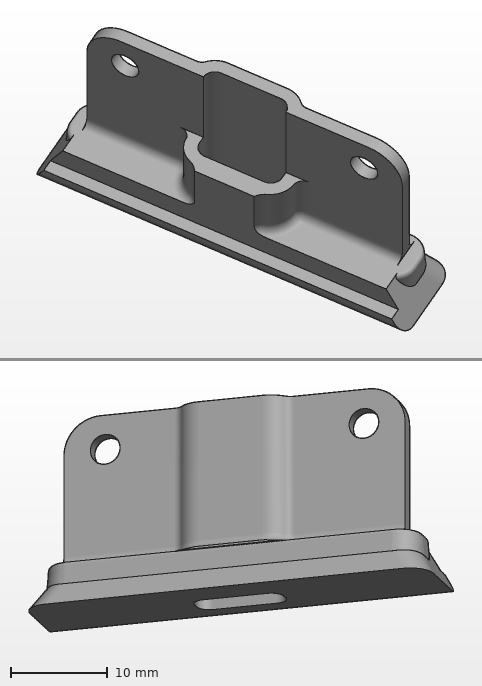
import cadquery as cq
import math

BASE_WIDTH = 43.77
BASE_DEPTH = 10.8
BASE_HEIGHT = 5.0
SIDE_ANGLE = 30.0
REAR_CORNER_RADIUS = 3.0
LIP_DEPTH = 1.45
LIP_HEIGHT = 2.5
LIP_RADIUS = 2.0

COLLAR_FRONT = 2.75
COLLAR_RADIUS = 2.65
COLLAR_DRAFT = 4.5
COLLAR_RIM_RADIUS = 0.5

TOTAL_HEIGHT = 21.0
PLATE_WIDTH = 37.06
PLATE_FRONT = 5.8
PLATE_THICKNESS = 1.5
PLATE_CORNER_RADIUS = 4.0
HOLE_DIAMETER = 3.2
HOLE_SPACING = 28.08
HOLE_HEIGHT = 17.3

SLOT_WIDTH = 9.68
SLOT_FRONT = 3.65
SLOT_BACK = 7.12
SLOT_RADIUS = 1.35
WALL_THICKNESS = 1.5
BOSS_HEIGHT = 11.0
BLEND_RADIUS = 1.15
FLARE_RADIUS = 2.17
FLARE_ANGLE = 22.0
FOOT_RADIUS = 1.0
FOOT_BACK = 9.0

MARGIN = 3.0
SLAB_THICKNESS = 1.0
SELECT_GAP = 0.1

SIDE_SLOPE = math.tan(math.radians(SIDE_ANGLE))
PLATE_BACK = PLATE_FRONT + PLATE_THICKNESS
BULGE_RADIUS = SLOT_RADIUS + WALL_THICKNESS
CORNER_X = SLOT_WIDTH / 2 - SLOT_RADIUS
FRONT_CORNER_Y = SLOT_FRONT + SLOT_RADIUS
BACK_CORNER_Y = SLOT_BACK - SLOT_RADIUS
OVERSIZE_X = PLATE_WIDTH / 2 + MARGIN


def polar(center, radius, angle):
    """Point on a circle, with the angle in degrees from +X."""
    turn = math.radians(angle)
    return (center[0] + radius * math.cos(turn), center[1] + radius * math.sin(turn))


def blend_geometry(corner_y, wall_y, outward):
    """Centre of the blend arc between a bulge corner and a plate face, and its direction from the corner."""
    rise = wall_y + outward * BLEND_RADIUS - corner_y
    reach = BULGE_RADIUS + BLEND_RADIUS
    run = math.sqrt(reach**2 - rise**2)
    return (CORNER_X + run, corner_y + rise), math.degrees(math.atan2(rise, run))


def make_wedge():
    """Block with sloping sides and back, rounded rear corners and a rounded front lip."""
    inset = BASE_HEIGHT * SIDE_SLOPE
    half = BASE_WIDTH / 2
    front_outline = [(-half, 0), (half, 0), (half - inset, BASE_HEIGHT), (inset - half, BASE_HEIGHT)]
    side_outline = [
        (0, 0),
        (BASE_DEPTH, 0),
        (BASE_DEPTH - inset, BASE_HEIGHT),
        (LIP_DEPTH, BASE_HEIGHT),
        (LIP_DEPTH, LIP_HEIGHT),
        (0, LIP_HEIGHT),
    ]
    across = cq.Workplane("XZ").polyline(front_outline).close().extrude(-BASE_DEPTH)
    along = cq.Workplane("YZ").polyline(side_outline).close().extrude(half, both=True)
    wedge = across.intersect(along)
    rear = cq.selectors.BoxSelector(
        (-BASE_WIDTH, BASE_DEPTH - inset, BASE_HEIGHT / 4),
        (BASE_WIDTH, BASE_DEPTH, BASE_HEIGHT * 3 / 4),
    )
    rear_corners = wedge.edges(rear).edges("not #Z").edges("not |X")
    wedge = rear_corners.fillet(REAR_CORNER_RADIUS)
    return wedge.edges("|X").edges("<Y").edges("<Z").fillet(LIP_RADIUS)


def make_collar():
    """Rounded drafted block with a rounded top rim; its foot meets the wedge at lip height."""
    inset = LIP_HEIGHT * SIDE_SLOPE
    width = BASE_WIDTH - 2 * inset
    back = BASE_DEPTH - inset
    outline = cq.Sketch().rect(width, back - COLLAR_FRONT).vertices().fillet(COLLAR_RADIUS)
    return (
        cq.Workplane("XY", origin=(0, (back + COLLAR_FRONT) / 2, LIP_HEIGHT))
        .placeSketch(outline)
        .extrude(BASE_HEIGHT - LIP_HEIGHT, taper=COLLAR_DRAFT)
        .faces(">Z")
        .edges()
        .fillet(COLLAR_RIM_RADIUS)
    )


def make_back_half():
    """Right half of the full-height plate, bulging backwards behind the slot."""
    corner = (CORNER_X, BACK_CORNER_Y)
    blend, angle = blend_geometry(BACK_CORNER_Y, PLATE_BACK, 1)
    return (
        cq.Workplane("XY", origin=(0, 0, BASE_HEIGHT))
        .moveTo(0, PLATE_FRONT)
        .lineTo(OVERSIZE_X, PLATE_FRONT)
        .lineTo(OVERSIZE_X, PLATE_BACK)
        .lineTo(blend[0], PLATE_BACK)
        .threePointArc(
            polar(blend, BLEND_RADIUS, (angle - 180 - 90) / 2),
            polar(blend, BLEND_RADIUS, angle - 180),
        )
        .threePointArc(polar(corner, BULGE_RADIUS, (angle + 90) / 2), polar(corner, BULGE_RADIUS, 90))
        .lineTo(0, BACK_CORNER_Y + BULGE_RADIUS)
        .close()
        .extrude(TOTAL_HEIGHT - BASE_HEIGHT)
    )


def make_front_half():
    """Right half of the low boss, narrowing round the slot and running out past the front."""
    corner = (CORNER_X, FRONT_CORNER_Y)
    blend, angle = blend_geometry(FRONT_CORNER_Y, PLATE_FRONT, -1)
    flare_start = FLARE_ANGLE - 90
    flare = polar(corner, BULGE_RADIUS + FLARE_RADIUS, flare_start)
    return (
        cq.Workplane("XY", origin=(0, 0, BASE_HEIGHT))
        .moveTo(0, PLATE_FRONT)
        .lineTo(blend[0], PLATE_FRONT)
        .threePointArc(
            polar(blend, BLEND_RADIUS, (90 + angle + 180) / 2),
            polar(blend, BLEND_RADIUS, angle + 180),
        )
        .threePointArc(
            polar(corner, BULGE_RADIUS, (angle + flare_start) / 2),
            polar(corner, BULGE_RADIUS, flare_start),
        )
        .threePointArc(
            polar(flare, FLARE_RADIUS, (flare_start + 360) / 2),
            polar(flare, FLARE_RADIUS, 180),
        )
        .lineTo(flare[0] - FLARE_RADIUS, -MARGIN)
        .lineTo(0, -MARGIN)
        .close()
        .extrude(BOSS_HEIGHT - BASE_HEIGHT)
    )


def make_upright():
    """Plate and boss with a filleted foot, trimmed to the rounded outline of the plate."""
    half = make_back_half().union(make_front_half())
    upright = half.union(half.mirror("YZ"))
    slab = (
        cq.Workplane("XY", origin=(0, BASE_DEPTH / 2, BASE_HEIGHT))
        .rect(2 * (OVERSIZE_X + MARGIN), BASE_DEPTH + 4 * MARGIN)
        .extrude(-SLAB_THICKNESS)
    )
    foot = cq.selectors.BoxSelector(
        (-OVERSIZE_X - SELECT_GAP, -MARGIN - SELECT_GAP, BASE_HEIGHT - SELECT_GAP),
        (OVERSIZE_X + SELECT_GAP, BASE_DEPTH, BASE_HEIGHT + SELECT_GAP),
    )
    upright = upright.union(slab).edges(foot).fillet(FOOT_RADIUS)
    trim = (
        cq.Workplane("XZ", origin=(0, LIP_DEPTH, 0))
        .center(0, (BASE_HEIGHT + TOTAL_HEIGHT) / 2)
        .rect(PLATE_WIDTH, TOTAL_HEIGHT - BASE_HEIGHT)
        .extrude(LIP_DEPTH - FOOT_BACK)
        .edges("|Y")
        .edges(">Z")
        .fillet(PLATE_CORNER_RADIUS)
    )
    return upright.intersect(trim)


def make_slot():
    """Rounded rectangular passage through the full height."""
    outline = cq.Sketch().rect(SLOT_WIDTH, SLOT_BACK - SLOT_FRONT).vertices().fillet(SLOT_RADIUS)
    return (
        cq.Workplane("XY", origin=(0, (SLOT_FRONT + SLOT_BACK) / 2, 0))
        .placeSketch(outline)
        .extrude(TOTAL_HEIGHT)
    )


def make_holes():
    """Pair of holes through the upper corners of the plate."""
    return (
        cq.Workplane("XZ")
        .pushPoints([(side * HOLE_SPACING / 2, HOLE_HEIGHT) for side in (-1, 1)])
        .circle(HOLE_DIAMETER / 2)
        .extrude(-BASE_DEPTH)
    )


result = make_wedge().union(make_collar()).union(make_upright()).cut(make_slot()).cut(make_holes())